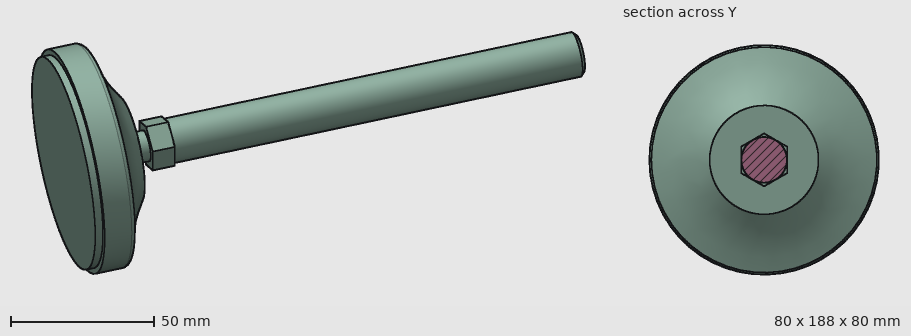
import cadquery as cq

total_length = 188.0

pad_diameter = 76.0
pad_height = 2.8
rim_diameter = 80.0
rim_top = 12.6
shoulder_diameter = 78.5
shoulder_height = 14.1
flare_middle_diameter = 51.1
flare_middle_height = 19.5
crown_diameter = 38.0
crown_height = 23.9

collar_diameter = 14.9
collar_top = 26.7
neck_diameter = 11.0

hex_bottom = 30.0
hex_height = 8.0
rod_diameter = 16.0
hex_across_flats = rod_diameter
rod_chamfer = 1.3


def revolve_about_y(half_profile):
    return half_profile.close().revolve(360, (0, 0, 0), (0, 1, 0))


def make_plate():
    pad_radius = pad_diameter / 2
    rim_radius = rim_diameter / 2
    half_profile = (
        cq.Workplane("XY")
        .lineTo(pad_radius, 0)
        .lineTo(pad_radius, pad_height)
        .lineTo(rim_radius, pad_height)
        .lineTo(rim_radius, rim_top)
        .tangentArcPoint((shoulder_diameter / 2, shoulder_height), relative=False)
        .threePointArc(
            (flare_middle_diameter / 2, flare_middle_height),
            (crown_diameter / 2, crown_height),
        )
        .lineTo(0, crown_height)
    )
    return revolve_about_y(half_profile)


def make_neck():
    half_profile = (
        cq.Workplane("XY")
        .moveTo(0, crown_height)
        .lineTo(collar_diameter / 2, crown_height)
        .lineTo(neck_diameter / 2, collar_top)
        .lineTo(neck_diameter / 2, hex_bottom)
        .lineTo(0, hex_bottom)
    )
    return revolve_about_y(half_profile)


def make_hexagon():
    return (
        cq.Workplane("XZ", origin=(0, hex_bottom, 0))
        .polygon(6, hex_across_flats, circumscribed=True)
        .extrude(-hex_height)
    )


def make_rod():
    rod_bottom = hex_bottom + hex_height
    return (
        cq.Workplane("XZ", origin=(0, rod_bottom, 0))
        .circle(rod_diameter / 2)
        .extrude(rod_bottom - total_length)
        .faces(">Y")
        .chamfer(rod_chamfer)
    )


result = make_plate().union(make_neck()).union(make_hexagon()).union(make_rod())